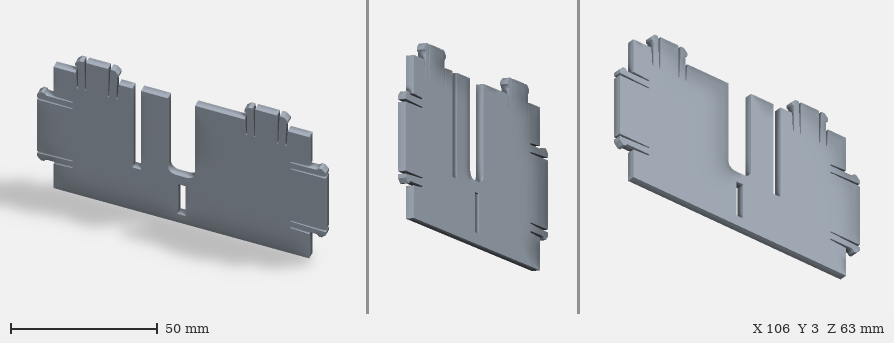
import cadquery as cq

overall_width = 106.0
overall_height = 63.0
thickness = 3.0

tab_reach = 6.0
root_depth = 13.0
top_tongue_width = 8.1
side_tongue_width = 24.2
top_tab_offset = 31.1
side_tab_height = 27.5

slit_at_tip = 1.0
slit_at_root = 0.4
arm_outer = 3.0
arm_tip_outer = 2.4
barb_outer = 3.9
barb_bend_outer = 3.3
notch_at_edge = 3.9
notch_at_root = 3.5

barb_start = 1.5
barb_end = 2.5
barb_bend = 3.0
barb_foot = 3.7

slot_width = 3.2
slot_center = -16.4
slot_floor = 19.9
u_width = 10.0
u_floor = 22.0
u_corner_radius = 3.0
window_width = 3.0
window_height = 14.0
window_bottom = 3.9

body_width = overall_width - 2 * tab_reach
body_height = overall_height - tab_reach


def block(x_center, width, z_bottom, z_top):
    """Full-thickness rectangular block."""
    height = z_top - z_bottom
    return cq.Workplane("XY").box(width, thickness, height).translate((x_center, 0, z_bottom + height / 2))


def prism(plane, points):
    """Full-thickness prism from an outline on one of the tab planes."""
    return cq.Workplane(plane).polyline(points).close().extrude(thickness / 2, both=True)


def tab_plane(x, z, sideways):
    """Plane at the tip of a tab: local x runs across the tab, local y points outward."""
    return cq.Plane(origin=(x, 0, z), xDir=sideways, normal=(0, -1, 0))


def add_tab(plate, plane, tongue_width):
    """Recess the edge of the plate, then fill in the tongue and its two arms."""
    flank = tongue_width / 2
    edge = flank + notch_at_edge
    root = flank + notch_at_root
    recess = [(-edge, -tab_reach), (edge, -tab_reach), (root, -root_depth), (-root, -root_depth)]
    tongue = [(-flank, 0), (flank, 0), (flank, -root_depth), (-flank, -root_depth)]
    plate = plate.cut(prism(plane, recess)).union(prism(plane, tongue))

    arm = [
        (slit_at_root, -root_depth),
        (slit_at_tip, 0),
        (arm_tip_outer, 0),
        (barb_outer, -barb_start),
        (barb_outer, -barb_end),
        (barb_bend_outer, -barb_bend),
        (arm_outer, -barb_foot),
        (arm_outer, -root_depth),
    ]
    for side in (-1, 1):
        outline = [(side * (flank + across), along) for across, along in arm]
        plate = plate.union(prism(plane, outline))
    return plate


def u_cutout():
    """Open-topped cutout with rounded lower corners."""
    cutout = block(0, u_width, u_floor, body_height)
    return cutout.edges("|Y and <Z").fillet(u_corner_radius)


plate = block(0, body_width, 0, body_height)

for side in (-1, 1):
    top_plane = tab_plane(side * top_tab_offset, overall_height, (1, 0, 0))
    plate = add_tab(plate, top_plane, top_tongue_width)
    side_plane = tab_plane(side * overall_width / 2, side_tab_height, (0, 0, -side))
    plate = add_tab(plate, side_plane, side_tongue_width)

plate = plate.cut(block(slot_center, slot_width, slot_floor, body_height))
plate = plate.cut(u_cutout())
plate = plate.cut(block(0, window_width, window_bottom, window_bottom + window_height))

result = plate